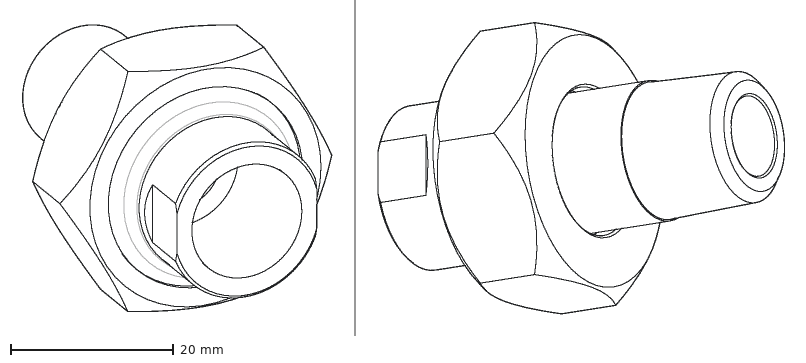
import cadquery as cq
import math

length = 49.0

bore_diameter = 10.0
bore_chamfer = 0.25
pipe_diameter = 17.5
taper_length = 13.9
taper_large_diameter = 17.13
taper_ratio = 1 / 16
tip_chamfer = 1.25
collar_diameter = 23.5
collar_thickness = 4.0

nut_start = 23.45
nut_length = 13.5
across_flats = 32.0
nut_face_diameter = 31.4
nut_wall = 3.0
lip_bore_diameter = 18.5
lip_bore_chamfer = 0.3
chamber_diameter = 24.12
thread_diameter = 26.4

body_bore_diameter = 14.95
head_chamfer_end = 37.96
head_chamfer_diameter = 23.15
neck_end = 39.3
neck_end_diameter = 20.85
spigot_start = 39.6
spigot_diameter = 20.5
spigot_chamfer = 0.4
flats_across = 19.0
flats_start = 41.95
flat_cut_margin = 1.0

collar_start = nut_start + nut_wall
collar_end = collar_start + collar_thickness
nut_end = nut_start + nut_length


def revolve_profile(points):
    """Turn a closed outline of (x, radius) points about the X axis."""
    return cq.Workplane("XY").polyline(points).close().revolve(360, (0, 0, 0), (1, 0, 0))


def make_tailpiece():
    bore = bore_diameter / 2
    pipe = pipe_diameter / 2
    collar = collar_diameter / 2
    taper_large = taper_large_diameter / 2
    taper_small = taper_large - (taper_length - tip_chamfer) * taper_ratio / 2
    return revolve_profile([
        (bore_chamfer, bore),
        (0, bore + bore_chamfer),
        (0, taper_small - tip_chamfer),
        (tip_chamfer, taper_small),
        (taper_length, taper_large),
        (taper_length, pipe),
        (collar_start, pipe),
        (collar_start, collar),
        (collar_end, collar),
        (collar_end, bore),
    ])


def make_nut():
    corner = across_flats / 2 / math.cos(math.pi / 6)
    face = nut_face_diameter / 2
    corner_chamfer = corner - face
    lip = lip_bore_diameter / 2
    chamber = chamber_diameter / 2
    thread = thread_diameter / 2

    blank = revolve_profile([
        (nut_start, lip + lip_bore_chamfer),
        (nut_start, face),
        (nut_start + corner_chamfer, corner),
        (nut_end - corner_chamfer, corner),
        (nut_end, face),
        (nut_end, thread),
        (collar_end, thread),
        (collar_end, chamber),
        (collar_start, chamber),
        (collar_start, lip),
        (nut_start + lip_bore_chamfer, lip),
    ])
    hexagon = (
        cq.Workplane("YZ", origin=(nut_start, 0, 0))
        .polygon(6, 2 * corner)
        .extrude(nut_length)
    )
    return hexagon.intersect(blank)


def make_flat_cutter(side):
    """Material to remove for one wrench flat; its inner end runs out at 45 degrees."""
    flat = flats_across / 2
    outside = spigot_diameter / 2 + flat_cut_margin
    runout = outside - flat
    return (
        cq.Workplane("XY", origin=(0, 0, -spigot_diameter / 2))
        .polyline([
            (flats_start, side * flat),
            (length, side * flat),
            (length, side * outside),
            (flats_start - runout, side * outside),
        ])
        .close()
        .extrude(spigot_diameter)
    )


def make_body():
    bore = body_bore_diameter / 2
    thread = thread_diameter / 2
    head_small = head_chamfer_diameter / 2
    spigot = spigot_diameter / 2
    body = revolve_profile([
        (collar_end, bore),
        (collar_end, thread),
        (head_chamfer_end - (thread - head_small), thread),
        (head_chamfer_end, head_small),
        (neck_end, neck_end_diameter / 2),
        (spigot_start, spigot),
        (length - spigot_chamfer, spigot),
        (length, spigot - spigot_chamfer),
        (length, bore),
    ])
    for side in (-1, 1):
        body = body.cut(make_flat_cutter(side))
    return body


tailpiece = make_tailpiece()
nut = make_nut()
body = make_body()

result = cq.Compound.makeCompound([tailpiece.val(), nut.val(), body.val()])